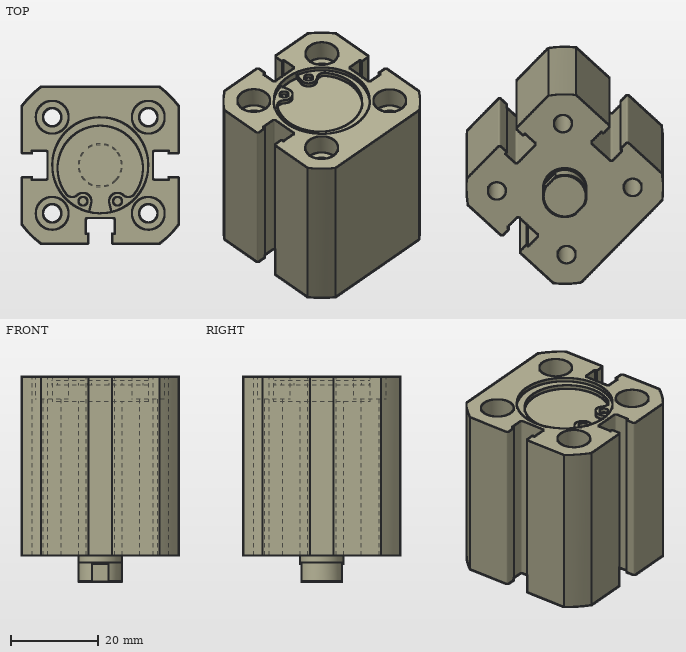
import cadquery as cq
import math

total_height = 47.0
housing_side = 36.0
rod_protrusion = 6.0
housing_height = total_height - rod_protrusion
corner_circle_diameter = 45.03

bolt_spacing = 22.0
bolt_hole_diameter = 4.15
counterbore_diameter = 7.5
counterbore_depth = 5.1

slot_depth = 5.9
slot_width = 6.6
lip_depth = 2.35
lip_opening = 5.4
slot_round = 0.4

bore_diameter = 22.0
ring_recess = 0.95
ring_thickness = 1.0
cover_thickness = 3.75
ring_bottom = housing_height - ring_recess - ring_thickness
cover_bottom = ring_bottom - cover_thickness

ring_outer_radius = bore_diameter / 2
ring_inner_radius = 9.78
ring_inner_offset = 0.7
lug_x = 3.95
lug_y = -8.22
lug_radius = 1.95
lug_hole_diameter = 2.0
lug_fillet = 1.75

rod_diameter = 10.0
rod_end_drop = 1.55
flat_drop = 1.9
across_flats = 9.3
tip_chamfer = 0.2


def box(x_size, y_size, height):
    return cq.Workplane("XY").box(x_size, y_size, height, centered=(True, True, False))


def cylinder(diameter, bottom, top):
    return cq.Workplane("XY").workplane(offset=bottom).circle(diameter / 2).extrude(top - bottom)


def make_slot_cutter():
    """T-slot that opens on the -Y side of the housing."""
    side = -housing_side / 2
    lip_cutter = box(lip_opening, 2 * lip_depth, housing_height).translate((0, side, 0))
    inner_length = slot_depth - lip_depth
    inner_cutter = (
        box(slot_width, inner_length, housing_height)
        .edges("|Z and >Y")
        .fillet(slot_round)
        .translate((0, side + lip_depth + inner_length / 2, 0))
    )
    return lip_cutter.union(inner_cutter)


def make_housing():
    body = box(housing_side, housing_side, housing_height)
    body = body.intersect(cylinder(corner_circle_diameter, 0, housing_height))

    slot_cutter = make_slot_cutter()
    for angle in (-90, 0, 90):
        body = body.cut(slot_cutter.rotate((0, 0, 0), (0, 0, 1), angle))

    half_side = housing_side / 2
    half_mouth = lip_opening / 2
    mouth_points = [(sign * half_mouth, -half_side) for sign in (-1, 1)]
    mouth_points += [(x, sign * half_mouth) for x in (-half_side, half_side) for sign in (-1, 1)]
    for x, y in mouth_points:
        mouth_edge = cq.selectors.NearestToPointSelector((x, y, housing_height / 2))
        body = body.edges("|Z").edges(mouth_edge).fillet(slot_round)

    body = (
        body.faces(">Z")
        .workplane(origin=(0, 0, housing_height))
        .rect(bolt_spacing, bolt_spacing, forConstruction=True)
        .vertices()
        .cboreHole(bolt_hole_diameter, counterbore_diameter, counterbore_depth)
    )
    body = body.cut(cylinder(bore_diameter, cover_bottom, housing_height))
    return body.cut(cylinder(rod_diameter, 0, cover_bottom))


def make_cover():
    return cylinder(bore_diameter, cover_bottom, ring_bottom)


def toward(start, end, distance):
    """Point at a distance from start, on the line to end."""
    ratio = distance / math.dist(start, end)
    return (start[0] + ratio * (end[0] - start[0]), start[1] + ratio * (end[1] - start[1]))


def make_retaining_ring():
    """Ring open toward -Y, with a lug at each end; the outline is worked out for +X and mirrored."""
    origin = (0, 0)
    lug = (lug_x, lug_y)
    inner_center = (0, -ring_inner_offset)

    lug_distance = math.hypot(lug_x, lug_y)
    end_angle = math.atan2(lug_y, lug_x) - math.asin(lug_radius / lug_distance)
    end_direction = (math.cos(end_angle), math.sin(end_angle))
    end_inner = toward(origin, end_direction, math.sqrt(lug_distance**2 - lug_radius**2))
    end_outer = toward(origin, end_direction, ring_outer_radius)

    base = math.dist(inner_center, lug)
    to_inner = ring_inner_radius - lug_fillet
    to_lug = lug_radius + lug_fillet
    turn = math.acos((base**2 + to_inner**2 - to_lug**2) / (2 * base * to_inner))
    fillet_angle = math.atan2(lug_y - inner_center[1], lug_x) + turn
    fillet = (
        to_inner * math.cos(fillet_angle),
        inner_center[1] + to_inner * math.sin(fillet_angle),
    )

    lug_end = toward(lug, fillet, lug_radius)
    inner_end = toward(inner_center, fillet, ring_inner_radius)
    lug_middle = toward(lug, origin, lug_radius)
    chord_middle = ((lug_end[0] + inner_end[0]) / 2, (lug_end[1] + inner_end[1]) / 2)
    fillet_middle = toward(fillet, chord_middle, lug_fillet)

    def mirrored(point):
        return (-point[0], point[1])

    return (
        cq.Workplane("XY")
        .workplane(offset=ring_bottom)
        .moveTo(*end_outer)
        .lineTo(*end_inner)
        .threePointArc(lug_middle, lug_end)
        .threePointArc(fillet_middle, inner_end)
        .threePointArc((0, ring_inner_radius - ring_inner_offset), mirrored(inner_end))
        .threePointArc(mirrored(fillet_middle), mirrored(lug_end))
        .threePointArc(mirrored(lug_middle), mirrored(end_inner))
        .lineTo(*mirrored(end_outer))
        .threePointArc((0, ring_outer_radius), end_outer)
        .close()
        .pushPoints([lug, mirrored(lug)])
        .circle(lug_hole_diameter / 2)
        .extrude(ring_thickness)
    )


def make_rod():
    return cylinder(rod_diameter, -rod_end_drop, cover_bottom)


def make_rod_tip():
    tip = cylinder(rod_diameter, -rod_protrusion, -rod_end_drop)
    tip = tip.faces("<Z").chamfer(tip_chamfer)
    flat_height = rod_protrusion - flat_drop
    flats = box(rod_diameter, across_flats, flat_height)
    outside_flats = box(rod_diameter, rod_diameter, flat_height).cut(flats)
    return tip.cut(outside_flats.translate((0, 0, -rod_protrusion)))


housing = make_housing()
cover = make_cover()
retaining_ring = make_retaining_ring()
rod = make_rod()
rod_tip = make_rod_tip()

result = cq.Compound.makeCompound(
    [housing.val(), cover.val(), retaining_ring.val(), rod.val(), rod_tip.val()]
)